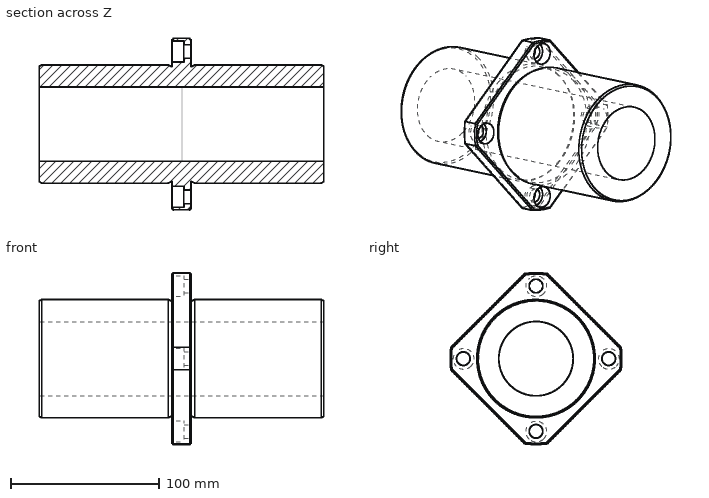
import cadquery as cq

length = 192.0
body_diameter = 80.0
bore_diameter = 50.0
end_chamfer_length = 1.8
end_chamfer_depth = 1.0

root_diameter = 77.6
taper_start_x = 9.0

flange_thickness = 13.0
flange_square = 92.0
flange_diameter = 116.0
flange_chamfer = 1.0

bolt_circle_diameter = 98.0
hole_count = 4
hole_diameter = 9.0
counterbore_diameter = 14.0
counterbore_depth = 8.1


def make_body():
    """Turned sleeve with chamfered ends and a conical taper on each side of the flange."""
    end_x = length / 2
    body_radius = body_diameter / 2
    root_radius = root_diameter / 2
    root_x = flange_thickness / 2
    end_radius = body_radius - end_chamfer_depth
    shoulder_x = end_x - end_chamfer_length
    return (
        cq.Workplane("XY")
        .moveTo(-end_x, 0)
        .lineTo(-end_x, end_radius)
        .lineTo(-shoulder_x, body_radius)
        .lineTo(-taper_start_x, body_radius)
        .lineTo(-root_x, root_radius)
        .lineTo(root_x, root_radius)
        .lineTo(taper_start_x, body_radius)
        .lineTo(shoulder_x, body_radius)
        .lineTo(end_x, end_radius)
        .lineTo(end_x, 0)
        .close()
        .revolve(360, (0, 0, 0), (1, 0, 0))
    )


def make_flange():
    """Square plate with corners at +-Y and +-Z, rounded by a circle, both faces chamfered."""
    start = cq.Workplane("YZ").workplane(offset=-flange_thickness / 2)
    plate = start.transformed(rotate=(0, 0, 45)).rect(flange_square, flange_square).extrude(flange_thickness)
    disc = start.circle(flange_diameter / 2).extrude(flange_thickness)
    return plate.intersect(disc).faces("<X or >X").chamfer(flange_chamfer)


def make_hole_cutters():
    """Stepped cutters, one at each flange corner."""
    start = cq.Workplane("YZ").workplane(offset=-flange_thickness / 2)
    circle_radius = bolt_circle_diameter / 2
    holes = (
        start.polarArray(circle_radius, 0, 360, hole_count)
        .circle(hole_diameter / 2)
        .extrude(flange_thickness)
    )
    counterbores = (
        start.polarArray(circle_radius, 0, 360, hole_count)
        .circle(counterbore_diameter / 2)
        .extrude(counterbore_depth)
    )
    return holes.union(counterbores)


def make_bore():
    """Through bore along the sleeve axis."""
    return cq.Workplane("YZ").circle(bore_diameter / 2).extrude(length / 2, both=True)


result = make_body().union(make_flange()).cut(make_hole_cutters()).cut(make_bore())